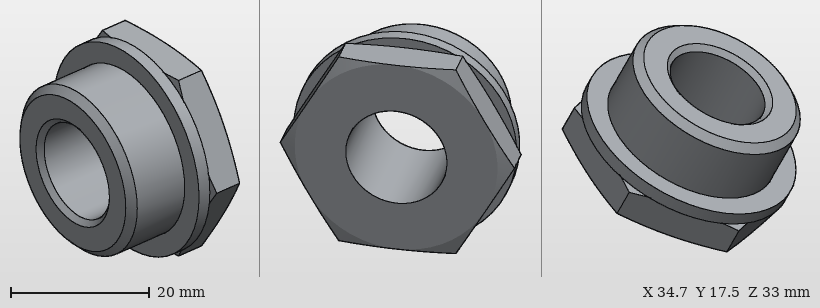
import cadquery as cq
import math

corner_width = 34.65
flat_width = corner_width * math.cos(math.radians(30))
head_length = 5.5
head_chamfer_angle = 15.0
head_chamfer_radial = (corner_width - flat_width) / 2
head_chamfer_axial = head_chamfer_radial * math.tan(math.radians(head_chamfer_angle))

shank_diameter = 26.43
shank_length = 12.0
shank_chamfer = 1.18
bore_diameter = 14.95
bore_chamfer = 0.83

ring_outer_diameter = 33.0
ring_inner_diameter = 26.5
ring_thickness = 2.0



def cylinder_toward_minus_y(diameter, length):
    """Cylinder from the seating plane toward -Y."""
    return cq.Workplane("XZ").circle(diameter / 2).extrude(length)


def make_head():
    """Hexagonal prism with its corners turned down to a cone at both ends."""
    prism = cq.Workplane("XZ").polygon(6, corner_width).extrude(-head_length)
    corner_turning = (
        cq.Workplane("XZ")
        .circle(corner_width / 2)
        .extrude(-head_length)
        .faces("<Y or >Y")
        .chamfer(head_chamfer_axial, head_chamfer_radial)
    )
    return prism.intersect(corner_turning)


def make_plug():
    """Head and shank in one piece, with a chamfered through bore."""
    shank = cylinder_toward_minus_y(shank_diameter, shank_length)
    shank = shank.faces("<Y").chamfer(shank_chamfer)
    plug = make_head().union(shank)

    bore = (
        cq.Workplane("XZ", origin=(0, head_length, 0))
        .circle(bore_diameter / 2)
        .extrude(head_length + shank_length)
    )
    plug = plug.cut(bore)
    bore_rim = cq.selectors.RadiusNthSelector(0)
    return plug.faces("<Y").edges(bore_rim).chamfer(bore_chamfer)


def make_sealing_ring():
    """Flat ring around the shank, against the head."""
    disc = cylinder_toward_minus_y(ring_outer_diameter, ring_thickness)
    opening = cylinder_toward_minus_y(ring_inner_diameter, ring_thickness)
    return disc.cut(opening)


plug = make_plug()
sealing_ring = make_sealing_ring()

result = cq.Compound.makeCompound([plug.solids().val(), sealing_ring.solids().val()])